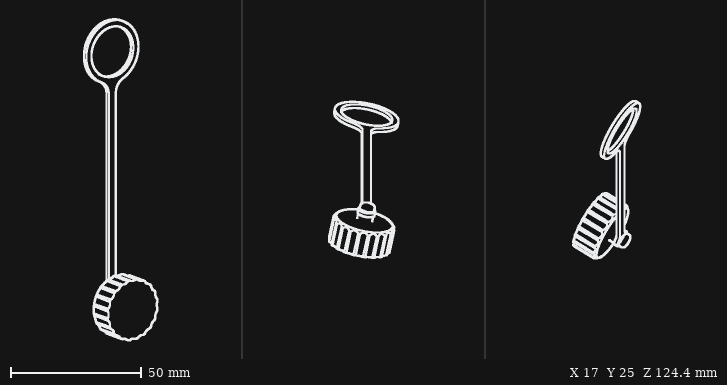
import cadquery as cq
import math

TOTAL_LENGTH = 124.4

BUTTON_RADIUS = 2.9
BUTTON_ROUND = 1.0
BUTTON_LENGTH = 2.0
NECK_RADIUS = 1.9
POST_RADIUS = 3.0
POST_FILLET = 0.5

STRAP_START = 2.4
STRAP_THICKNESS = 1.6
STRAP_WIDTH = 3.4
STRAP_END = STRAP_START + STRAP_THICKNESS
EYE_RADIUS = 3.4
EYE_FILLET = 3.0
RING_OUTER_DIAMETER = 25.0
RING_OUTER_RADIUS = RING_OUTER_DIAMETER / 2
RING_BORE_DIAMETER = 20.0
RING_BORE_RADIUS = RING_BORE_DIAMETER / 2
RING_FILLET = 5.7

CAP_START = 6.8
RIM_START = 8.0
FACE_DIAMETER = 22.0
FACE_RADIUS = FACE_DIAMETER / 2
CAP_END = 17.0
CAP_DIAMETER = 24.0
CAP_RADIUS = CAP_DIAMETER / 2

FLUTE_COUNT = 20
FLUTE_RADIUS = 2.7
FLUTE_DEPTH = 0.56
FLUTE_DRAFT = 0.5
FLUTE_AXIS = CAP_RADIUS - FLUTE_DEPTH + FLUTE_RADIUS


def cap_bottom_reach():
    """Distance from the cap axis to the lowest rib edge, at the narrow end of the flutes."""
    narrow_radius = FLUTE_RADIUS - (CAP_END - CAP_START) * math.tan(math.radians(FLUTE_DRAFT))
    return (CAP_RADIUS**2 + FLUTE_AXIS**2 - narrow_radius**2) / (2 * FLUTE_AXIS)


RING_HEIGHT = TOTAL_LENGTH - RING_OUTER_RADIUS - cap_bottom_reach()


def disc(radius, start, end):
    """Cylinder along X between two stations."""
    return cq.Workplane("YZ").workplane(offset=start).circle(radius).extrude(end - start)


def make_post():
    """Button with a rounded rim, neck through the strap eye, and post up to the cap."""
    button = disc(BUTTON_RADIUS, 0, BUTTON_LENGTH).faces("<X").fillet(BUTTON_ROUND)
    neck = disc(NECK_RADIUS, BUTTON_LENGTH, STRAP_END)
    post = disc(POST_RADIUS, STRAP_END, CAP_START)
    return button.union(neck).union(post)


def make_cap():
    """Disc with a conical back edge and drafted flutes around its rim."""
    cap = (
        cq.Workplane("XY")
        .moveTo(CAP_START, 0)
        .lineTo(CAP_START, FACE_RADIUS)
        .lineTo(RIM_START, CAP_RADIUS)
        .lineTo(CAP_END, CAP_RADIUS)
        .lineTo(CAP_END, 0)
        .close()
        .revolve(360, (0, 0, 0), (1, 0, 0))
    )
    flutes = (
        cq.Workplane("YZ")
        .workplane(offset=CAP_START)
        .polarArray(FLUTE_AXIS, 0, 360, FLUTE_COUNT)
        .circle(FLUTE_RADIUS)
        .extrude(CAP_END - CAP_START, taper=FLUTE_DRAFT, combine=False)
    )
    return cap.cut(flutes)


def flare(disc_radius, fillet, disc_height, side):
    """Web filling the concave corner where a strap meets a disc; side is +1 above, -1 below."""
    half_width = STRAP_WIDTH / 2
    centre_y = half_width + fillet
    centre_z = math.sqrt((disc_radius + fillet) ** 2 - centre_y**2)
    touch = disc_radius / (disc_radius + fillet)
    touch_y, touch_z = centre_y * touch, centre_z * touch

    sweep = math.atan2(centre_z, centre_y)
    mid_y = centre_y - fillet * math.cos(sweep / 2)
    mid_z = centre_z - fillet * math.sin(sweep / 2)

    def place(y, z):
        return (y, disc_height + side * z)

    return (
        cq.Workplane("YZ")
        .workplane(offset=STRAP_START)
        .moveTo(*place(touch_y, touch_z))
        .threePointArc(place(mid_y, mid_z), place(half_width, centre_z))
        .lineTo(*place(-half_width, centre_z))
        .threePointArc(place(-mid_y, mid_z), place(-touch_y, touch_z))
        .close()
        .extrude(STRAP_THICKNESS)
    )


def make_strap():
    """Flat strap from the eye on the post to the ring, with filleted ends."""
    eye = disc(EYE_RADIUS, STRAP_START, STRAP_END)
    ring = disc(RING_OUTER_RADIUS, STRAP_START, STRAP_END).translate((0, 0, RING_HEIGHT))
    bore = disc(RING_BORE_RADIUS, STRAP_START, STRAP_END).translate((0, 0, RING_HEIGHT))
    band = cq.Workplane("XY").box(
        STRAP_THICKNESS, STRAP_WIDTH, RING_HEIGHT, centered=(False, True, False)
    ).translate((STRAP_START, 0, 0))
    strap = (
        band.union(eye)
        .union(ring)
        .union(flare(EYE_RADIUS, EYE_FILLET, 0, 1))
        .union(flare(RING_OUTER_RADIUS, RING_FILLET, RING_HEIGHT, -1))
    )
    return strap.cut(bore)


def fillet_post_base(body):
    """Round the concave corner where the post meets the back face of the cap."""
    near = (CAP_START - POST_FILLET, -FACE_RADIUS / 2, -FACE_RADIUS / 2)
    far = (CAP_START + POST_FILLET, FACE_RADIUS / 2, FACE_RADIUS / 2)
    base_circle = cq.selectors.BoxSelector(near, far, boundingbox=True)
    return body.edges(base_circle).fillet(POST_FILLET)


capped_post = fillet_post_base(make_post().union(make_cap()))
result = capped_post.union(make_strap())